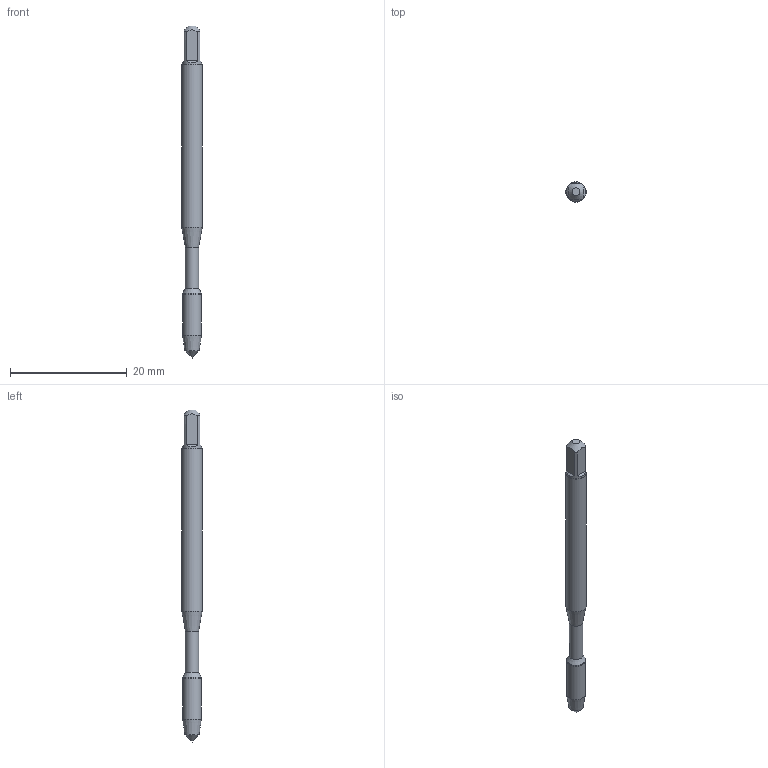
import cadquery as cq

overall_length = 56.98
shank_diameter = 3.5
neck_diameter = 2.27
thread_diameter = 3.25
drive_diameter = 3.36
drive_across_flats = 2.7
drive_end_diameter = 1.36
lead_end_diameter = 2.44

point_height = lead_end_diameter / 2
lead_top = 3.9
thread_top = 10.92
shoulder_land = 0.2
shoulder_bottom = thread_top + shoulder_land
neck_bottom = 11.95
neck_top = 18.97
shank_bottom = 22.45
shank_top = 50.32
flats_bottom = 51.0

drive_bevel_bottom = overall_length - (drive_diameter - drive_end_diameter) / 2


def revolve_profile(outline):
    """Turn a list of (diameter, height) pairs, bottom to top, around the Z axis."""
    bottom_height = outline[0][1]
    top_height = outline[-1][1]
    profile = cq.Workplane("XZ").moveTo(0, bottom_height)
    for diameter, height in outline:
        if diameter > 0:
            profile = profile.lineTo(diameter / 2, height)
    profile = profile.lineTo(0, top_height).close()
    return profile.revolve(360, (0, 0, 0), (0, 1, 0))


def make_threaded_head():
    """Plain threaded length with a tapered lead and a pointed tip."""
    return revolve_profile([
        (0, 0),
        (lead_end_diameter, point_height),
        (thread_diameter, lead_top),
        (thread_diameter, thread_top),
    ])


def make_flat_cutter():
    """Material removed beside the +X flat, ending below in a 45 degree run-out."""
    flat_offset = drive_across_flats / 2
    outer_offset = shank_diameter
    runout_drop = outer_offset - flat_offset
    return (
        cq.Workplane("XZ")
        .moveTo(flat_offset, flats_bottom)
        .lineTo(outer_offset, flats_bottom - runout_drop)
        .lineTo(outer_offset, overall_length)
        .lineTo(flat_offset, overall_length)
        .close()
        .extrude(shank_diameter / 2, both=True)
    )


def make_shank():
    """Shoulder, neck, shank and square drive."""
    shank = revolve_profile([
        (thread_diameter, thread_top),
        (thread_diameter, shoulder_bottom),
        (neck_diameter, neck_bottom),
        (neck_diameter, neck_top),
        (shank_diameter, shank_bottom),
        (shank_diameter, shank_top),
        (drive_diameter, shank_top),
        (drive_diameter, drive_bevel_bottom),
        (drive_end_diameter, overall_length),
    ])
    flat_cutter = make_flat_cutter()
    for side in range(4):
        shank = shank.cut(flat_cutter.rotate((0, 0, 0), (0, 0, 1), 90 * side))
    return shank


threaded_head = make_threaded_head()
shank = make_shank()

result = cq.Compound.makeCompound([threaded_head.val(), shank.val()])